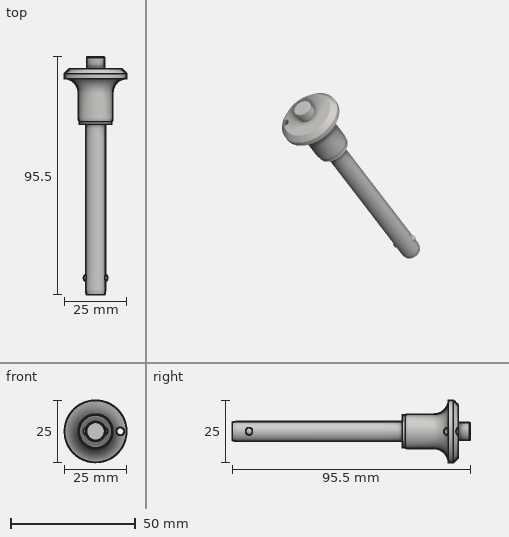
import cadquery as cq
import math

total_length = 95.5

button_radius = 3.6
button_length = 4.7
button_chamfer = 0.3

flange_radius = 12.5
flange_thickness = 4.0
flange_chamfer = flange_thickness / 2

body_radius = 7.0
body_end_distance = 27.1
collar_radius = 6.6
collar_length = 1.1
collar_rounding_length = 1.4

shank_radius = 4.0
tip_radius = 3.6
tip_rounding_length = 2.0

ball_radius = 1.5
ball_offset = 3.3
ball_distance_from_tip = 6.8

lanyard_hole_diameter = 3.1
lanyard_hole_offset = 9.9

flange_top = -button_length
flange_bottom = flange_top - flange_thickness
flare_radius = flange_radius - body_radius
flare_end = flange_bottom - flare_radius
body_end = -body_end_distance
collar_start = body_end + collar_length
rounding_start = collar_start + collar_rounding_length
tip_end = -total_length
tip_start = tip_end + tip_rounding_length


def rounding_midpoint(start_radius, end_radius, start_y, length):
    """Middle of an arc that leaves a cylinder tangentially toward -Y."""
    drop = start_radius - end_radius
    arc_radius = (length**2 + drop**2) / (2 * drop)
    half_angle = math.asin(length / arc_radius) / 2
    radius = start_radius - arc_radius * (1 - math.cos(half_angle))
    return radius, start_y - arc_radius * math.sin(half_angle)


def make_turned_body():
    diagonal = flare_radius * math.sqrt(0.5)
    flare_midpoint = (flange_radius - diagonal, flare_end + diagonal)
    collar_midpoint = rounding_midpoint(
        body_radius, collar_radius, rounding_start, collar_rounding_length
    )
    tip_midpoint = rounding_midpoint(shank_radius, tip_radius, tip_start, tip_rounding_length)
    profile = (
        cq.Workplane("XY")
        .lineTo(button_radius - button_chamfer, 0)
        .lineTo(button_radius, -button_chamfer)
        .lineTo(button_radius, flange_top)
        .lineTo(flange_radius - flange_chamfer, flange_top)
        .lineTo(flange_radius, flange_top - flange_chamfer)
        .lineTo(flange_radius, flange_bottom)
        .threePointArc(flare_midpoint, (body_radius, flare_end))
        .lineTo(body_radius, rounding_start)
        .threePointArc(collar_midpoint, (collar_radius, collar_start))
        .lineTo(collar_radius, body_end)
        .lineTo(shank_radius, body_end)
        .lineTo(shank_radius, tip_start)
        .threePointArc(tip_midpoint, (tip_radius, tip_end))
        .lineTo(0, tip_end)
        .close()
    )
    return profile.revolve(360, (0, 0, 0), (0, 1, 0))


def make_locking_ball(side):
    center = (side * ball_offset, tip_end + ball_distance_from_tip, 0)
    return cq.Workplane("XY").sphere(ball_radius).translate(center)


def make_lanyard_hole():
    """Cutter along Y through the flange and its flare."""
    return (
        cq.Workplane("XZ", origin=(lanyard_hole_offset, flange_top, 0))
        .circle(lanyard_hole_diameter / 2)
        .extrude(flange_top - body_end)
    )


result = make_turned_body().cut(make_lanyard_hole())
for side in (-1, 1):
    result = result.union(make_locking_ball(side))